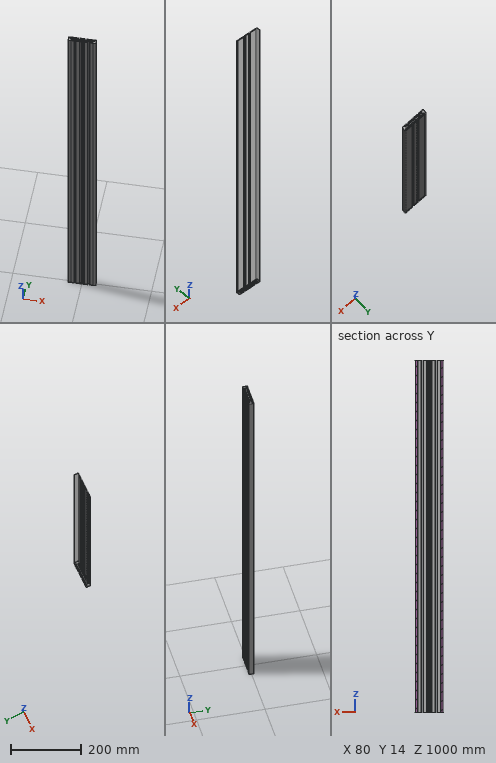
import cadquery as cq

WIDTH = 80.0
DEPTH = 14.0
LENGTH = 1000.0
CORNER_DIAMETER = 4.3
BACK_Y = DEPTH / 2
FRONT_Y = -DEPTH / 2

BACK_LIP = 2.0
FRONT_LIP = 1.8
BACK_LIP_Y = BACK_Y - BACK_LIP
FRONT_LIP_Y = FRONT_Y + FRONT_LIP
WEB_BACK_Y = 2.0
WEB_FRONT_Y = -2.0

BACK_PITCH = 20.0
BACK_MOUTH = 5.2
BACK_INNER = 6.9
BACK_OUTER = 35.0

FRONT_PITCH = 40.0
FRONT_MOUTH = 6.0
FLARE_SLOPE = 1.5
FRONT_INNER = 7.5
FRONT_OUTER = 32.0

CHAMBER_WIDTH = 10.0
SLOT_WIDTH = 10.0
SLOT_MOUTH = 2.8
LEAD_IN_WIDTH = 6.4
LEAD_IN_SLOPE = 0.078


def prism(points):
    """Full-length bar with the given XY outline."""
    return cq.Workplane("XY").polyline(points).close().extrude(LENGTH)


def mirrored_outline(half):
    """Closed outline from its +X half and its mirror image."""
    return half + [(-x, y) for x, y in reversed(half)]


def back_channel():
    """Undercut channel on the +X half, open to the back face."""
    mouth_inner = (BACK_PITCH - BACK_MOUTH) / 2
    mouth_outer = (BACK_PITCH + BACK_MOUTH) / 2
    return prism([
        (BACK_INNER, WEB_BACK_Y),
        (BACK_OUTER, WEB_BACK_Y),
        (BACK_OUTER, BACK_LIP_Y),
        (mouth_outer, BACK_LIP_Y),
        (mouth_outer, BACK_Y),
        (mouth_inner, BACK_Y),
        (mouth_inner, BACK_LIP_Y),
        (BACK_INNER, BACK_LIP_Y),
    ])


def front_channel():
    """Undercut channel on the +X half, open to the front face through a flared mouth."""
    centre = FRONT_PITCH / 2
    half_outside = FRONT_MOUTH / 2
    half_inside = half_outside - FRONT_LIP / FLARE_SLOPE
    return prism([
        (FRONT_INNER, WEB_FRONT_Y),
        (FRONT_INNER, FRONT_LIP_Y),
        (centre - half_inside, FRONT_LIP_Y),
        (centre - half_outside, FRONT_Y),
        (centre + half_outside, FRONT_Y),
        (centre + half_inside, FRONT_LIP_Y),
        (FRONT_OUTER, FRONT_LIP_Y),
        (FRONT_OUTER, WEB_FRONT_Y),
    ])


def middle_slot():
    """Narrow T-slot in the middle of the front face, with a shallow lead-in to its mouth."""
    half_mouth = SLOT_MOUTH / 2
    half_lead_in = LEAD_IN_WIDTH / 2
    lead_in_y = FRONT_Y + LEAD_IN_SLOPE * (half_lead_in - half_mouth)
    return prism(mirrored_outline([
        (SLOT_WIDTH / 2, WEB_FRONT_Y),
        (SLOT_WIDTH / 2, FRONT_LIP_Y),
        (half_mouth, FRONT_LIP_Y),
        (half_mouth, lead_in_y),
        (half_lead_in, FRONT_Y),
    ]))


def middle_chamber():
    """Closed chamber between the web and the back face."""
    half_width = CHAMBER_WIDTH / 2
    return prism(mirrored_outline([(half_width, WEB_BACK_Y), (half_width, BACK_LIP_Y)]))


bar = cq.Workplane("XY").rect(WIDTH, DEPTH).extrude(LENGTH)
bar = bar.edges("|Z").fillet(CORNER_DIAMETER / 2)
for channel in (back_channel(), front_channel()):
    bar = bar.cut(channel).cut(channel.mirror("YZ"))
result = bar.cut(middle_slot()).cut(middle_chamber())